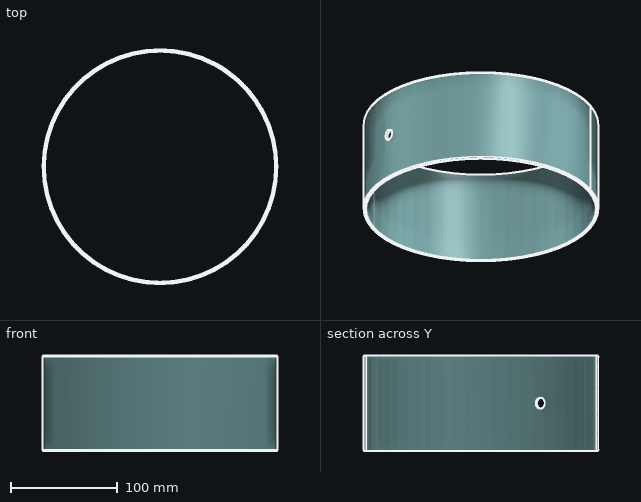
import cadquery as cq

outer_diameter = 220.0
wall_thickness = 2.5
height = 90.0

outer_chamfer_height = 1.5
outer_chamfer_depth = 0.7
inner_chamfer = 0.75

slit_width = 1.5
slit_offset_y = slit_width / 2
slit_cutter_length = 4 * wall_thickness

hole_diameter = 10.0
hole_angle = 59.0
hole_height = height / 2

outer_radius = outer_diameter / 2
inner_radius = outer_radius - wall_thickness


def make_band():
    """Ring standing on Z = 0, revolved from a wall section with four chamfered corners."""
    section = [
        (inner_radius + inner_chamfer, 0),
        (outer_radius - outer_chamfer_depth, 0),
        (outer_radius, outer_chamfer_height),
        (outer_radius, height - outer_chamfer_height),
        (outer_radius - outer_chamfer_depth, height),
        (inner_radius + inner_chamfer, height),
        (inner_radius, height - inner_chamfer),
        (inner_radius, inner_chamfer),
    ]
    return cq.Workplane("XZ").polyline(section).close().revolve(360, (0, 0, 0), (0, 1, 0))


def make_slit():
    """Thin full-height block that opens the ring at -X."""
    return (
        cq.Workplane("XY")
        .center(-outer_radius, slit_offset_y)
        .rect(slit_cutter_length, slit_width)
        .extrude(height)
    )


def make_hole():
    """Radial drill that starts on the axis and leaves through one side of the wall."""
    return (
        cq.Workplane("YZ")
        .center(0, hole_height)
        .circle(hole_diameter / 2)
        .extrude(outer_diameter)
        .rotate((0, 0, 0), (0, 0, 1), hole_angle)
    )


result = make_band().cut(make_slit()).cut(make_hole())